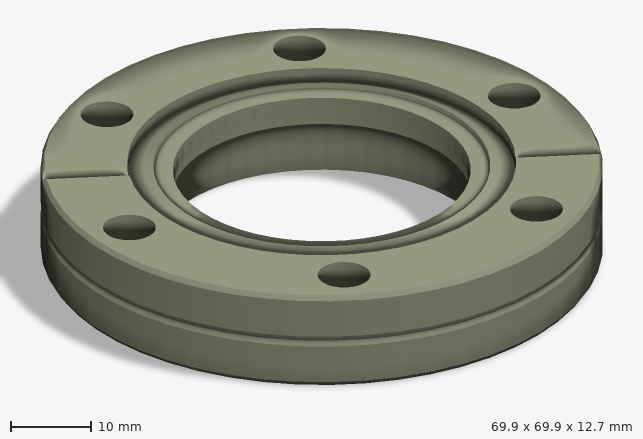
import cadquery as cq
import math

outer_radius = 34.95
height = 12.7
edge_chamfer_height = 0.6
edge_chamfer_width = 0.4

rim_groove_half_height = 0.7
rim_groove_depth = 0.3

seat_radius = 24.2
seat_height = 4.4
lower_bore_radius = 21.1

bolt_count = 6
bolt_circle_radius = 29.35
bolt_hole_radius = 3.3

leak_groove_angle = 30.0
leak_groove_width = 2.5
leak_groove_depth = 0.55

bore_radius = 18.5
socket_top = 7.9
knife_radius = 21.0
knife_foot_radius = 20.8
knife_tip_drop = 0.5
land_drop = 1.1
gasket_recess_depth = 1.9


def revolve_profile(points):
    """Revolve a closed (radius, height) outline about the Z axis."""
    return cq.Workplane("XZ").polyline(points).close().revolve(360, (0, 0, 0), (0, 1, 0))


def cut_bolt_holes(body):
    holes = (
        cq.Workplane("XY")
        .polarArray(bolt_circle_radius, 0, 360, bolt_count)
        .circle(bolt_hole_radius)
        .extrude(height)
    )
    return body.cut(holes)


def cut_leak_grooves(body):
    """Cut one cylinder across the whole top face, which leaves two opposite grooves."""
    half_width = leak_groove_width / 2
    cutter_radius = (half_width**2 + leak_groove_depth**2) / (2 * leak_groove_depth)
    axis_height = height - leak_groove_depth + cutter_radius
    direction = cq.Vector(
        math.cos(math.radians(leak_groove_angle)),
        math.sin(math.radians(leak_groove_angle)),
        0,
    )
    start = direction * -outer_radius + cq.Vector(0, 0, axis_height)
    cutter = cq.Solid.makeCylinder(cutter_radius, 2 * outer_radius, start, direction)
    return body.cut(cq.Workplane(obj=cutter))


def make_ring():
    """Bolt ring with a stepped bore that holds the insert."""
    rim_middle = height / 2
    face_radius = outer_radius - edge_chamfer_width
    ring = revolve_profile([
        (lower_bore_radius, 0),
        (face_radius, 0),
        (outer_radius, edge_chamfer_height),
        (outer_radius, rim_middle - rim_groove_half_height),
        (outer_radius - rim_groove_depth, rim_middle),
        (outer_radius, rim_middle + rim_groove_half_height),
        (outer_radius, height - edge_chamfer_height),
        (face_radius, height),
        (seat_radius, height),
        (seat_radius, seat_height),
        (lower_bore_radius, seat_height),
    ])
    return cut_leak_grooves(cut_bolt_holes(ring))


def make_insert():
    """Knife-edge insert, with a tube socket in its underside."""
    land_height = height - land_drop
    return revolve_profile([
        (lower_bore_radius, seat_height),
        (seat_radius, seat_height),
        (seat_radius, height - gasket_recess_depth),
        (knife_radius, height - knife_tip_drop),
        (knife_foot_radius, land_height),
        (bore_radius, land_height),
        (bore_radius, socket_top),
        (lower_bore_radius, socket_top),
    ])


ring = make_ring()
insert = make_insert()

result = cq.Compound.makeCompound([ring.val(), insert.val()])